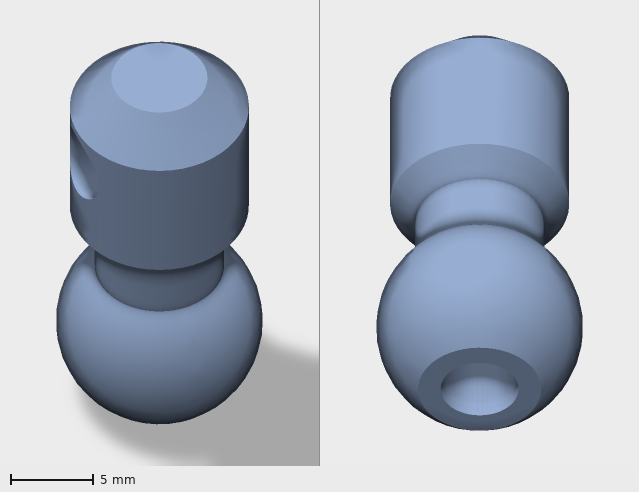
import cadquery as cq
import math

total_height = 26.41
ball_diameter = 12.6
head_diameter = 10.9
neck_diameter = 7.87
top_flat_diameter = 5.85
bottom_flat_diameter = 7.5

top_chamfer_height = 2.5
head_height = 8.7
under_head_cone_height = (head_diameter - neck_diameter) / 2

hole_diameter = 4.75
hole_center_below_top = 5.35
cross_hole_depth = 9.0
drill_point_angle = 118.0

ball_radius = ball_diameter / 2
head_radius = head_diameter / 2
neck_radius = neck_diameter / 2
bottom_flat_radius = bottom_flat_diameter / 2
hole_radius = hole_diameter / 2
ball_center_z = math.sqrt(ball_radius**2 - bottom_flat_radius**2)
neck_bottom_z = ball_center_z + math.sqrt(ball_radius**2 - neck_radius**2)
head_top_z = total_height - top_chamfer_height
head_bottom_z = head_top_z - head_height
neck_top_z = head_bottom_z - under_head_cone_height
hole_center_z = total_height - hole_center_below_top


def turned_body():
    """Ball, neck and chamfered head as one revolved profile about Z."""
    return (
        cq.Workplane("XZ")
        .moveTo(0, 0)
        .lineTo(bottom_flat_radius, 0)
        .threePointArc((ball_radius, ball_center_z), (neck_radius, neck_bottom_z))
        .lineTo(neck_radius, neck_top_z)
        .lineTo(head_radius, head_bottom_z)
        .lineTo(head_radius, head_top_z)
        .lineTo(top_flat_diameter / 2, total_height)
        .lineTo(0, total_height)
        .close()
        .revolve(360, (0, 0, 0), (0, 1, 0))
    )


def cross_hole():
    """Cutter for the cross hole: a cylinder ending in a drill point."""
    point_length = hole_radius / math.tan(math.radians(drill_point_angle / 2))
    mouth_y = -head_radius
    shoulder_y = mouth_y + cross_hole_depth
    return (
        cq.Workplane("XY")
        .moveTo(0, mouth_y)
        .lineTo(hole_radius, mouth_y)
        .lineTo(hole_radius, shoulder_y)
        .lineTo(0, shoulder_y + point_length)
        .close()
        .revolve(360, (0, 0, 0), (0, 1, 0))
        .translate((0, 0, hole_center_z))
    )


def axial_hole():
    """Cutter along Z from the bottom flat up to the axis of the cross hole."""
    return cq.Workplane("XY").circle(hole_radius).extrude(hole_center_z)


result = turned_body().cut(cross_hole()).cut(axial_hole())